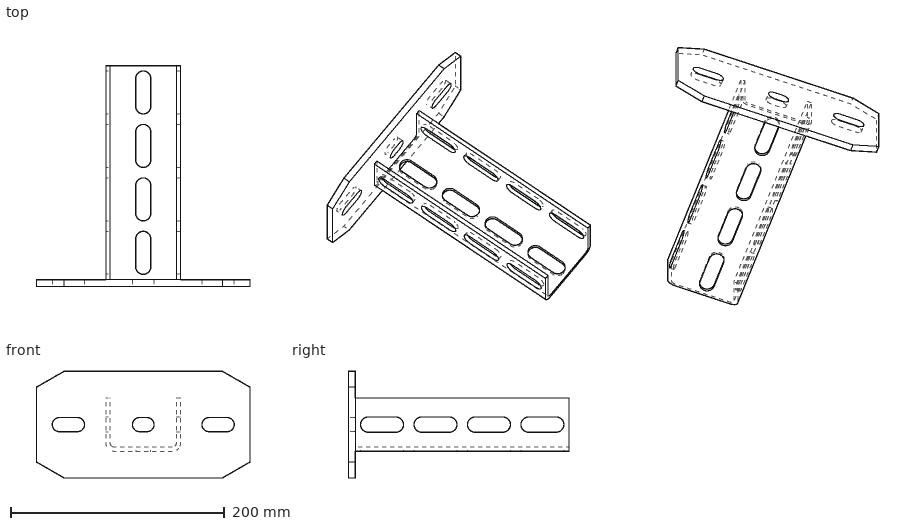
import cadquery as cq

plate_width = 200.0
plate_height = 100.0
plate_thickness = 6.5
corner_cut_x = 26.0
corner_cut_z = 15.0

plate_slot_width = 13.0
outer_slot_length = 30.0
outer_slot_offset = 70.0
center_slot_length = 20.0

arm_length = 200.0
arm_width = 70.0
arm_height = 50.0
wall = 4.0
inner_bend_radius = 4.0
outer_bend_radius = inner_bend_radius + wall

arm_slot_length = 40.0
arm_slot_width = 14.0
arm_slot_pitch = 50.0
arm_slot_count = 4

arm_slot_centers_y = [
    plate_thickness + (i + 0.5) * arm_slot_pitch for i in range(arm_slot_count)
]


def make_plate():
    """Plate with four cut corners and a row of three slots."""
    half_width = plate_width / 2
    half_height = plate_height / 2
    flat_x = half_width - corner_cut_x
    flat_z = half_height - corner_cut_z
    outline = [
        (-flat_x, -half_height),
        (flat_x, -half_height),
        (half_width, -flat_z),
        (half_width, flat_z),
        (flat_x, half_height),
        (-flat_x, half_height),
        (-half_width, flat_z),
        (-half_width, -flat_z),
    ]
    plate = cq.Workplane("XZ").polyline(outline).close().extrude(-plate_thickness)
    outer_slots = (
        cq.Workplane("XZ")
        .pushPoints([(-outer_slot_offset, 0), (outer_slot_offset, 0)])
        .slot2D(outer_slot_length, plate_slot_width)
        .extrude(-plate_thickness)
    )
    center_slot = (
        cq.Workplane("XZ")
        .slot2D(center_slot_length, plate_slot_width)
        .extrude(-plate_thickness)
    )
    return plate.cut(outer_slots).cut(center_slot)


def rounded_bar(width, bottom_z, bend_radius):
    """Bar along the arm whose two lower edges are rounded."""
    top_z = arm_height / 2
    return (
        cq.Workplane("XY")
        .box(width, arm_length, top_z - bottom_z, centered=(True, False, False))
        .translate((0, plate_thickness, bottom_z))
        .edges("|Y and <Z")
        .fillet(bend_radius)
    )


def make_arm():
    """Bent U-channel with slots through the web and both flanges."""
    bottom_z = -arm_height / 2
    outside = rounded_bar(arm_width, bottom_z, outer_bend_radius)
    inside = rounded_bar(arm_width - 2 * wall, bottom_z + wall, inner_bend_radius)
    web_slots = (
        cq.Workplane("XY")
        .pushPoints([(0, y) for y in arm_slot_centers_y])
        .slot2D(arm_slot_length, arm_slot_width, 90)
        .extrude(arm_height, both=True)
    )
    flange_slots = (
        cq.Workplane("YZ")
        .pushPoints([(y, 0) for y in arm_slot_centers_y])
        .slot2D(arm_slot_length, arm_slot_width)
        .extrude(arm_width, both=True)
    )
    return outside.cut(inside).cut(web_slots).cut(flange_slots)


result = make_plate().union(make_arm())